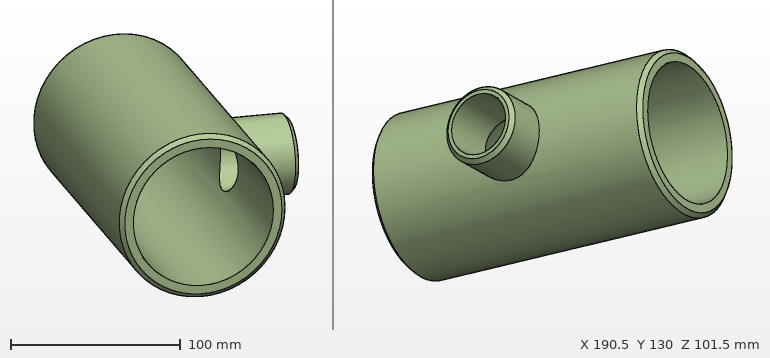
import cadquery as cq

run_length = 190.5
run_diameter = 101.5
run_bore = 85.7
branch_diameter = 48.2
branch_wall = 5.1
branch_reach = 79.2
bevel = 2.7

branch_bore = branch_diameter - 2 * branch_wall


def run_cylinder(diameter):
    """Cylinder along X, centred on the origin."""
    return cq.Workplane("YZ").circle(diameter / 2).extrude(run_length / 2, both=True)


def branch_cylinder(diameter):
    """Cylinder from the run axis to the branch end, along +Y."""
    return cq.Workplane("XZ").circle(diameter / 2).extrude(-branch_reach)


run = run_cylinder(run_diameter).faces("<X or >X").chamfer(bevel)
branch = branch_cylinder(branch_diameter).faces(">Y").chamfer(bevel)

result = run.union(branch).cut(run_cylinder(run_bore)).cut(branch_cylinder(branch_bore))